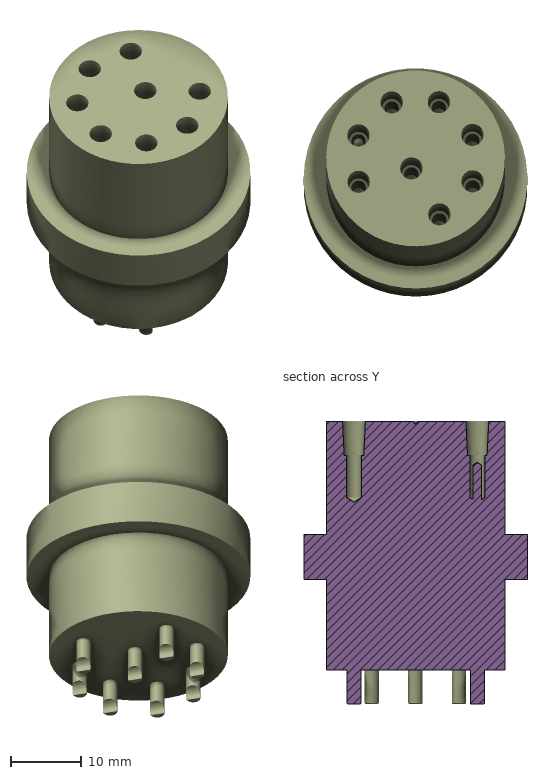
import cadquery as cq
import math

BODY_DIAMETER = 25.4
FLANGE_DIAMETER = 31.75
TOTAL_HEIGHT = 40.15
PIN_LENGTH = 4.78
LOWER_BODY_HEIGHT = 12.9
FLANGE_HEIGHT = 6.45
FLANGE_BOTTOM = PIN_LENGTH + LOWER_BODY_HEIGHT

CONTACT_CIRCLE_RADIUS = 8.75
CIRCLE_POSITIONS = 8
EMPTY_POSITION = 2
INNER_CONTACT_Y = 1.55
POINTED_POSITION = 0

MOUTH_TOP_DIAMETER = 3.17
MOUTH_FLOOR_DIAMETER = 2.75
MOUTH_DEPTH = 4.8
BORE_DIAMETER = 2.05
BORE_DEPTH = 6.02
DRILL_POINT_ANGLE = 118

CONTACT_DIAMETER = 1.33
CONTACT_HEIGHT = 5.62
CONTACT_TIP_HEIGHT = 0.4

PIN_DIAMETER = 2.05
PIN_CHAMFER = 0.12
RELIEF_DEPTH = 0.95
RELIEF_RADIUS = 1.2
RELIEF_ARC_CENTER_Z = 0.5

PIN_RADIUS = PIN_DIAMETER / 2
MOUTH_FLOOR_Z = TOTAL_HEIGHT - MOUTH_DEPTH
BORE_FLOOR_Z = MOUTH_FLOOR_Z - BORE_DEPTH
DRILL_POINT_DEPTH = BORE_DIAMETER / 2 / math.tan(math.radians(DRILL_POINT_ANGLE / 2))
SOCKET_BOTTOM_Z = BORE_FLOOR_Z - DRILL_POINT_DEPTH


def circle_position(index):
    """Place on the contact circle, counted anticlockwise from +X."""
    angle = math.radians(index * 360 / CIRCLE_POSITIONS)
    return CONTACT_CIRCLE_RADIUS * math.cos(angle), CONTACT_CIRCLE_RADIUS * math.sin(angle)


def revolve_profile(points):
    """Solid of revolution about Z from (radius, z) points."""
    return cq.Workplane("XZ").polyline(points).close().revolve(360, (0, 0), (0, 1))


def make_body():
    body_height = TOTAL_HEIGHT - PIN_LENGTH
    barrel = cq.Workplane("XY", origin=(0, 0, PIN_LENGTH)).circle(BODY_DIAMETER / 2).extrude(body_height)
    flange = cq.Workplane("XY", origin=(0, 0, FLANGE_BOTTOM)).circle(FLANGE_DIAMETER / 2).extrude(FLANGE_HEIGHT)
    return barrel.union(flange)


def make_socket():
    """Volume removed for one socket."""
    return revolve_profile([
        (0, TOTAL_HEIGHT),
        (MOUTH_TOP_DIAMETER / 2, TOTAL_HEIGHT),
        (MOUTH_FLOOR_DIAMETER / 2, MOUTH_FLOOR_Z),
        (BORE_DIAMETER / 2, MOUTH_FLOOR_Z),
        (BORE_DIAMETER / 2, BORE_FLOOR_Z),
        (0, SOCKET_BOTTOM_Z),
    ])


def make_pointed_contact():
    """Round contact with a conical tip, its foot level with the lowest point of the socket."""
    tip_z = SOCKET_BOTTOM_Z + CONTACT_HEIGHT
    return revolve_profile([
        (0, SOCKET_BOTTOM_Z),
        (CONTACT_DIAMETER / 2, SOCKET_BOTTOM_Z),
        (CONTACT_DIAMETER / 2, tip_z - CONTACT_TIP_HEIGHT),
        (0, tip_z),
    ])


def make_solder_pin():
    pin = cq.Workplane("XY").circle(PIN_RADIUS).extrude(PIN_LENGTH).faces("<Z").chamfer(PIN_CHAMFER)
    arc_center_y = PIN_RADIUS - RELIEF_DEPTH + RELIEF_RADIUS
    arc = (
        cq.Workplane("YZ", origin=(-PIN_RADIUS, 0, 0))
        .center(arc_center_y, RELIEF_ARC_CENTER_Z)
        .circle(RELIEF_RADIUS)
        .extrude(PIN_DIAMETER)
    )
    flat = (
        cq.Workplane("XY")
        .box(PIN_DIAMETER, RELIEF_RADIUS, RELIEF_ARC_CENTER_Z, centered=(True, False, False))
        .translate((0, PIN_RADIUS - RELIEF_DEPTH, 0))
    )
    return pin.cut(arc).cut(flat)


contact_places = [(0, INNER_CONTACT_Y)]
for position in range(CIRCLE_POSITIONS):
    if position != EMPTY_POSITION:
        contact_places.append(circle_position(position))

result = make_body()
socket = make_socket()
solder_pin = make_solder_pin()
for x, y in contact_places:
    result = result.cut(socket.translate((x, y, 0)))
    result = result.union(solder_pin.translate((x, y, 0)))

pointed_x, pointed_y = circle_position(POINTED_POSITION)
result = result.union(make_pointed_contact().translate((pointed_x, pointed_y, 0)))